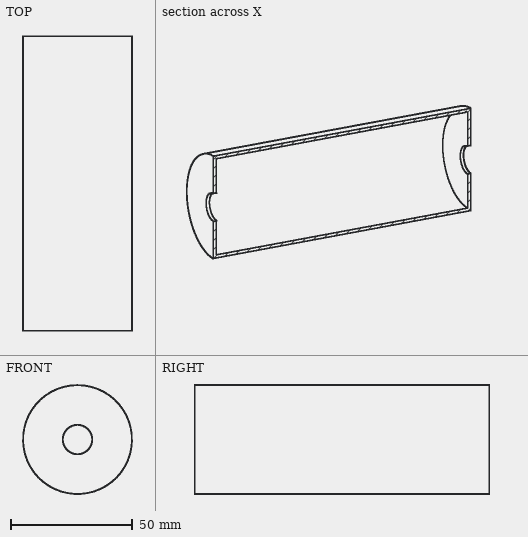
import cadquery as cq

length = 121.6
outer_diameter = 45.0
hole_diameter = 12.0
wall_thickness = 1.6

cavity_diameter = outer_diameter - 2 * wall_thickness
cavity_length = length - 2 * wall_thickness


def cylinder_along_y(diameter, cylinder_length):
    """Solid cylinder on the Y axis, centred on the origin."""
    start = cq.Vector(0, -cylinder_length / 2, 0)
    return cq.Workplane(
        cq.Solid.makeCylinder(diameter / 2, cylinder_length, start, cq.Vector(0, 1, 0))
    )


body = cylinder_along_y(outer_diameter, length)
cavity = cylinder_along_y(cavity_diameter, cavity_length)
axial_hole = cylinder_along_y(hole_diameter, length)

result = body.cut(cavity).cut(axial_hole)